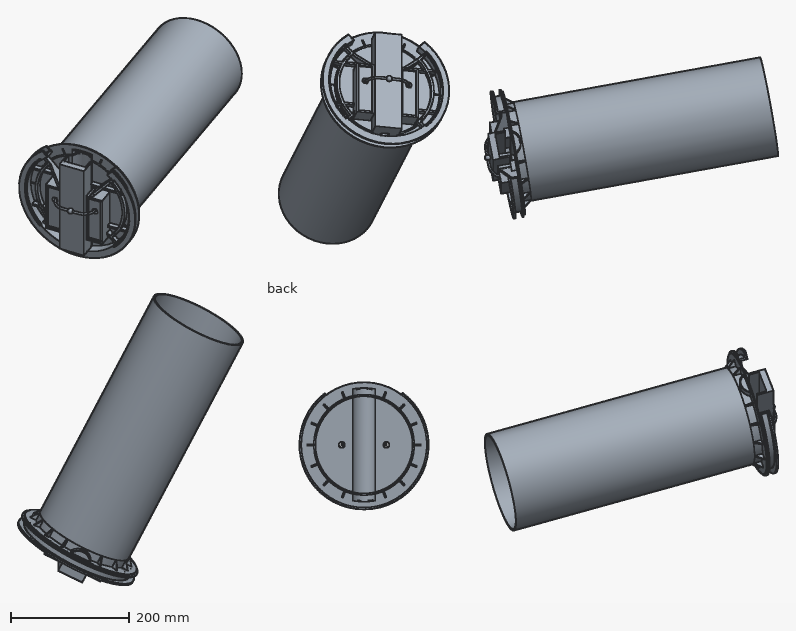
import cadquery as cq
import math


tube_radius = 85.0
tube_wall = 3.0
tube_back = 441.5
collar_back = 16.0
disc_radius = 106.0
disc_thickness = 2.0
gusset_count = 16
gusset_radius = 96.5
gusset_thickness = 2.5
trough_axis_y = -7.5
trough_radius = 19.0
trough_end_radius = 94.5
trough_wall = 2.0

ring_flange_radius = 109.5
ring_outer_radius = 100.0
ring_inner_radius = 96.0
back_flange_setback = 1.0
back_flange_thickness = 2.0
front_flange_thickness = 3.5
rabbet_radius = 99.0
ring_depth = 18.0
ring_end_offset = 15.0
rib_shift_x = 1.0
rib_depth = 9.0
rib_thickness = 3.5
upper_rib_z = 38.5
lower_rib_z = -37.0
brace_angles = (45, 135, 225, 315)
brace_thickness = 4.5
arc_rib_outer_radius = 84.0
arc_rib_thickness = 4.5
brace_bend_radius = 80.0
brace_tip_radius = 41.0
brace_tip_depth = 28.5

channel_half_width = 23.0
channel_top = 87.0
channel_bottom = -89.0
channel_front = -38.0
channel_wall = 3.0
channel_front_wall = 11.7
floor_thickness = 3.0
floor_hole_radius = 8.0

box_outer_x = 53.5
box_top = 29.5
box_bottom = -61.0
box_front = -30.0
box_rim = 3.5
box_recess_depth = 4.0
handle_hole_x = 37.5
handle_hole_radius = 5.0

handle_radius = 2.0
handle_end_x = 36.5
handle_bend_radius = 22.0
ball_radius = 5.0
handle_y = -43.0


def block(x_range, y_range, z_range):
    """Box between two limits along each axis."""
    (x0, x1), (y0, y1), (z0, z1) = x_range, y_range, z_range
    return cq.Workplane("XY").box(x1 - x0, y1 - y0, z1 - z0, centered=False).translate((x0, y0, z0))


def cylinder(radius, y_front, y_back, x=0):
    """Cylinder along Y between two planes."""
    return cq.Workplane("XZ", origin=(x, y_back, 0)).circle(radius).extrude(y_back - y_front)


def pipe(outer_radius, inner_radius, y_front, y_back):
    """Hollow cylinder along Y between two planes."""
    return cylinder(outer_radius, y_front, y_back).cut(cylinder(inner_radius, y_front, y_back))


def turn(shape, angle):
    """Turn a shape about the tube axis, from +X towards +Z."""
    return shape.rotate((0, 0, 0), (0, -1, 0), angle)


def trough_solid(radius, end_radius):
    """Part of an upright cylinder behind the disc front, with ends rounded about the tube axis."""
    upright = cq.Workplane("XY", origin=(0, trough_axis_y, -end_radius)).circle(radius).extrude(2 * end_radius)
    return upright.intersect(cylinder(end_radius, 0, collar_back))


def make_flange():
    """Disc and collar with gussets, crossed by a trough that is open at the front."""
    inner_radius = tube_radius - tube_wall
    flange = cylinder(disc_radius, 0, disc_thickness)
    flange = flange.union(pipe(tube_radius, inner_radius, disc_thickness, collar_back))
    gusset = (
        cq.Workplane("XY", origin=(0, 0, -gusset_thickness / 2))
        .polyline([
            (tube_radius - tube_wall / 2, 0),
            (gusset_radius, 0),
            (gusset_radius, disc_thickness),
            (tube_radius, collar_back),
            (tube_radius - tube_wall / 2, collar_back),
        ])
        .close()
        .extrude(gusset_thickness)
    )
    for index in range(gusset_count):
        angle = index * 360 / gusset_count
        if angle % 180 != 90:
            flange = flange.union(turn(gusset, angle))
    flange = flange.union(trough_solid(trough_radius + trough_wall, trough_end_radius + trough_wall))
    flange = flange.cut(trough_solid(trough_radius, trough_end_radius))
    for x in (-handle_hole_x, handle_hole_x):
        flange = flange.cut(cylinder(handle_hole_radius, 0, disc_thickness, x))
    return flange


def quarter(y_front, y_back, angle, corner_offset=0):
    """Block filling a quarter turn about the tube axis, centred on an angle."""
    reach = 2 * ring_flange_radius
    corner = block((corner_offset, reach), (y_front, y_back), (corner_offset, reach))
    return turn(corner, angle - 45)


def make_ring():
    """Spool-shaped ring with its top cut away along two lines at 45 degrees."""
    back_flange_front = -back_flange_setback - back_flange_thickness
    front_flange_back = front_flange_thickness - ring_depth
    ring = pipe(ring_outer_radius, ring_inner_radius, -ring_depth, 0)
    ring = ring.union(pipe(ring_flange_radius, ring_inner_radius, back_flange_front, -back_flange_setback))
    ring = ring.union(pipe(ring_flange_radius, ring_inner_radius, -ring_depth, front_flange_back))
    rabbet = cylinder(rabbet_radius, -ring_depth, front_flange_back)
    for angle in (0, 180):
        ring = ring.cut(rabbet.intersect(quarter(-ring_depth, front_flange_back, angle)))
    opening = quarter(-ring_depth, 0, 90, ring_end_offset)
    return ring.cut(opening.translate((rib_shift_x, 0, 0)))


def make_ribs():
    """Cross ribs, arc ribs and sloped radial braces."""
    half = rib_thickness / 2
    ribs = pipe(arc_rib_outer_radius, arc_rib_outer_radius - arc_rib_thickness, -rib_depth, 0)
    for angle in (90, 270):
        ribs = ribs.cut(quarter(-rib_depth, 0, angle))
    ribs = ribs.translate((rib_shift_x, 0, 0))
    bar_end = (ring_inner_radius + ring_outer_radius) / 2
    for z in (lower_rib_z, upper_rib_z):
        bar_half_length = math.sqrt(bar_end**2 - z**2)
        bar = block((-bar_half_length, bar_half_length), (-rib_depth, 0), (z - half, z + half))
        ribs = ribs.union(bar)
    inside = channel_half_width - channel_wall
    ribs = ribs.cut(block((-inside, inside), (-rib_depth, 0), (-bar_end, bar_end)))
    brace = (
        cq.Workplane("XY", origin=(0, 0, -brace_thickness / 2))
        .polyline([
            (bar_end, 0),
            (bar_end, -rib_depth),
            (brace_bend_radius, -rib_depth),
            (brace_tip_radius, -brace_tip_depth),
            (brace_tip_radius, 0),
        ])
        .close()
        .extrude(brace_thickness)
    )
    for angle in brace_angles:
        ribs = ribs.union(turn(brace, angle).translate((rib_shift_x, 0, 0)))
    return ribs


def side_box_envelope(side):
    """Outer block of a side box; side is -1 or 1."""
    x_range = sorted((side * channel_half_width, side * box_outer_x))
    return block(x_range, (box_front, 0), (box_bottom, box_top))


def make_frame():
    """Ring and ribs in one piece, cleared for the side boxes."""
    frame = make_ring().union(make_ribs())
    return frame.cut(block((-box_outer_x, box_outer_x), (box_front, 0), (box_bottom, box_top)))


def make_channel():
    """Upright channel, open at the back and top, with a holed floor."""
    inside = channel_half_width - channel_wall
    heights = (channel_bottom, channel_top)
    channel = block((-channel_half_width, channel_half_width), (channel_front, -rib_depth), heights)
    channel = channel.cut(block((-inside, inside), (channel_front + channel_front_wall, -rib_depth), heights))
    floor_top = channel_bottom + floor_thickness
    floor = block((-inside, inside), (channel_front + channel_front_wall, 0), (channel_bottom, floor_top))
    hole = (
        cq.Workplane("XY", origin=(0, trough_axis_y, channel_bottom))
        .circle(floor_hole_radius)
        .extrude(floor_thickness)
    )
    return channel.union(floor).cut(hole)


def make_side_box(side):
    """Box beside the channel, with a shallow front recess and a hole for the handle end."""
    x_range = sorted((side * (channel_half_width + box_rim), side * (box_outer_x - box_rim)))
    recess = block(x_range, (box_front, box_front + box_recess_depth), (box_bottom + box_rim, box_top - box_rim))
    hole = cylinder(handle_hole_radius, box_front, 0, side * handle_hole_x)
    return side_box_envelope(side).cut(recess).cut(hole)


def make_handle():
    """Round bar bent back at both ends, with a ball at its middle."""
    bend_x = handle_end_x - handle_bend_radius
    bend_y = handle_y + handle_bend_radius
    diagonal = handle_bend_radius * math.sqrt(0.5)
    path = (
        cq.Workplane("XY")
        .moveTo(-handle_end_x, bend_y)
        .threePointArc((-bend_x - diagonal, bend_y - diagonal), (-bend_x, handle_y))
        .lineTo(bend_x, handle_y)
        .threePointArc((bend_x + diagonal, bend_y - diagonal), (handle_end_x, bend_y))
    )
    bar = cq.Workplane("XZ", origin=(-handle_end_x, bend_y, 0)).circle(handle_radius).sweep(path)
    ball = cq.Workplane("XY").sphere(ball_radius).translate((0, handle_y, 0))
    return bar.union(ball)


tube = pipe(tube_radius, tube_radius - tube_wall, collar_back, tube_back)
flange = make_flange()
frame = make_frame()
channel = make_channel()
side_boxes = [make_side_box(side) for side in (-1, 1)]
handle = make_handle()

result = cq.Compound.makeCompound([
    tube.val(),
    flange.val(),
    frame.val(),
    channel.val(),
    *[box.val() for box in side_boxes],
    handle.val(),
])